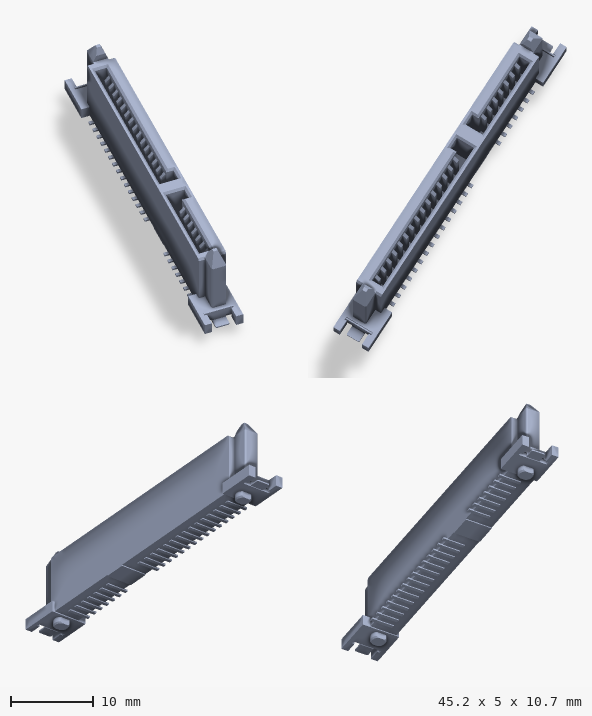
import cadquery as cq

overall_length = 45.2
overall_height = 10.65
body_bottom = 0.95
body_top = 8.9

body_length = 36.1
body_back = 2.13
body_front = -1.45
end_chamfer_length = 0.25
end_chamfer_height = 0.25
key_pad_left = 3.6
key_pad_right = 6.6

cavity_front = -1.18
cavity_back = 0.9
leg_back = 1.8
cavity_floor = 2.25
mouth_chamfer = 0.25
long_cavity_left = -17.1
long_cavity_right = 4.3
long_leg_left = 2.2
short_cavity_left = 5.75
short_cavity_right = 17.1
short_leg_right = 7.8

contact_pitch = 1.27
contact_width = 0.45
long_row_start = -15.9
long_row_count = 15
short_row_start = 8.28
short_row_count = 7
contact_top = 7.95
contact_slope_drop = 0.65
contact_front = 0.05
contact_root = 1.8
tail_width = 0.45
tail_reach = 0.6
tail_bottom = 0.8
tail_top = 1.05

foot_length = 5.4
foot_depth = 5.0
foot_bottom = 0.8
foot_top = 2.3
notch_depth = 1.95
notch_half_width = 1.6

sheet_thickness = 0.2
clip_slot_width = 0.35
clip_half_width = 1.9
clip_top = 2.45
clip_bottom = 1.2
clip_relief_top = 1.35
clip_relief_half_width = 1.4
tab_half_width = 0.9
tab_bottom = 0.8
tab_end_inset = 0.4
tab_corner_radius = 0.2

post_outer_inset = 2.4
post_width = 2.8
post_front = -0.65
post_back = 1.3
post_corner_radius = 0.23
post_tip_width = 0.45
post_tip_depth = 0.55

peg_inset = 4.2
peg_y = 0.25
peg_radius = 1.0
peg_flat_width = 1.5
peg_chamfer = 0.2

half_length = overall_length / 2
half_body = body_length / 2


def block(x_range, y_range, z_range):
    """Box spanning the given ranges along X, Y and Z."""
    size = [high - low for low, high in (x_range, y_range, z_range)]
    corner = (x_range[0], y_range[0], z_range[0])
    return cq.Workplane("XY").box(*size, centered=False).translate(corner)


def housing():
    """Body with bevelled ends and a shallow pad under the partition."""
    body = block((-half_body, half_body), (body_front, body_back), (body_bottom, body_top))
    for side in (-1, 1):
        bevel = (
            cq.Workplane("XZ", origin=(0, body_back, 0))
            .moveTo(side * half_body, body_top)
            .lineTo(side * (half_body - end_chamfer_length), body_top)
            .lineTo(side * half_body, body_top - end_chamfer_height)
            .close()
            .extrude(body_back - body_front)
        )
        body = body.cut(bevel)
    pad = block((key_pad_left, key_pad_right), (body_front, body_back), (foot_bottom, body_top))
    return body.union(pad)


def cavity(outline):
    """Pocket volume under the given mouth outline, flared at the mouth."""
    mouth_plane = cq.Workplane("XY", origin=(0, 0, body_top))
    flare = mouth_plane.polyline(outline).close().extrude(-mouth_chamfer, taper=45)
    pocket = (
        mouth_plane.polyline(outline)
        .close()
        .offset2D(-mouth_chamfer, "intersection")
        .extrude(cavity_floor - body_top)
    )
    return pocket.union(flare)


def cavity_outline(outer_x, step_x, inner_x):
    """L-shaped mouth running from its outer end to the leg by the partition."""
    return [
        (outer_x, cavity_front),
        (inner_x, cavity_front),
        (inner_x, leg_back),
        (step_x, leg_back),
        (step_x, cavity_back),
        (outer_x, cavity_back),
    ]


def contact(x):
    """Contact blade on the back wall of a cavity, with a sloped tip, rooted in the floor."""
    profile = [
        (cavity_back, contact_root),
        (cavity_back, contact_top),
        (cavity_back - mouth_chamfer, contact_top),
        (contact_front, contact_top - contact_slope_drop),
        (contact_front, contact_root),
    ]
    start = x - contact_width / 2
    return cq.Workplane("YZ", origin=(start, 0, 0)).polyline(profile).close().extrude(contact_width)


def solder_tail(x):
    """Short flat tail leaving the lower edge of the front face, rooted inside the body."""
    x_range = (x - tail_width / 2, x + tail_width / 2)
    return block(x_range, (body_front - tail_reach, cavity_back), (tail_bottom, tail_top))


def foot():
    """Left mounting foot with an open notch and its solder clip."""
    outer = -half_length
    heel = outer + notch_depth
    half_depth = foot_depth / 2
    plate = block((outer, outer + foot_length), (-half_depth, half_depth), (foot_bottom, foot_top))
    notch = block((outer, heel), (-notch_half_width, notch_half_width), (foot_bottom, foot_top))

    slot_x = (heel - clip_slot_width, heel)
    clip_slot = block(slot_x, (-clip_half_width, clip_half_width), (foot_bottom, foot_top))
    clip_back = heel - (clip_slot_width - sheet_thickness) / 2
    clip_x = (clip_back - sheet_thickness, clip_back)
    clip = block(clip_x, (-clip_half_width, clip_half_width), (clip_bottom, clip_top))
    for near, far in (
        (tab_half_width, clip_relief_half_width),
        (-clip_relief_half_width, -tab_half_width),
    ):
        clip = clip.cut(block(clip_x, (near, far), (clip_bottom, clip_relief_top)))
    neck = block(clip_x, (-tab_half_width, tab_half_width), (tab_bottom, clip_top))
    tab_top = tab_bottom + sheet_thickness
    tab = (
        block((outer + tab_end_inset, clip_back), (-tab_half_width, tab_half_width), (tab_bottom, tab_top))
        .edges("|Z and <X")
        .fillet(tab_corner_radius)
    )
    return plate.cut(notch).cut(clip_slot).union(clip).union(neck).union(tab)


def guide_post():
    """Left guide post with rounded outer corners and a pyramid tip."""
    left = -half_length + post_outer_inset
    right = left + post_width
    depth = post_back - post_front
    post = (
        block((left, right), (post_front, post_back), (foot_bottom, overall_height))
        .edges("|Z and <X")
        .fillet(post_corner_radius)
    )
    center = ((left + right) / 2, (post_front + post_back) / 2)
    pyramid = (
        cq.Workplane("XY", origin=(*center, body_top))
        .rect(post_width, depth)
        .workplane(offset=overall_height - body_top)
        .rect(post_tip_width, post_tip_depth)
        .loft()
    )
    shaft = block((left, right), (post_front, post_back), (foot_bottom, body_top))
    past_body_end = block((-half_body, right), (post_front, post_back), (body_top, overall_height))
    return post.intersect(shaft.union(pyramid)).cut(past_body_end)


def locating_peg():
    """Left locating peg: a round pin with a bevelled tip and two flats."""
    center = (-half_length + peg_inset, peg_y)
    pin = (
        cq.Workplane("XY", origin=(*center, 0))
        .circle(peg_radius)
        .extrude(foot_top)
        .faces("<Z")
        .chamfer(peg_chamfer)
    )
    x_range = (center[0] - peg_flat_width / 2, center[0] + peg_flat_width / 2)
    y_range = (peg_y - peg_radius, peg_y + peg_radius)
    return pin.intersect(block(x_range, y_range, (0, foot_top)))


result = housing()
result = result.cut(cavity(cavity_outline(long_cavity_left, long_leg_left, long_cavity_right)))
result = result.cut(cavity(cavity_outline(short_cavity_right, short_leg_right, short_cavity_left)))

for row_start, count in ((long_row_start, long_row_count), (short_row_start, short_row_count)):
    for index in range(count):
        contact_x = row_start + index * contact_pitch
        result = result.union(contact(contact_x)).union(solder_tail(contact_x))

left_end = foot().union(guide_post()).union(locating_peg())
result = result.union(left_end).union(left_end.mirror("YZ"))